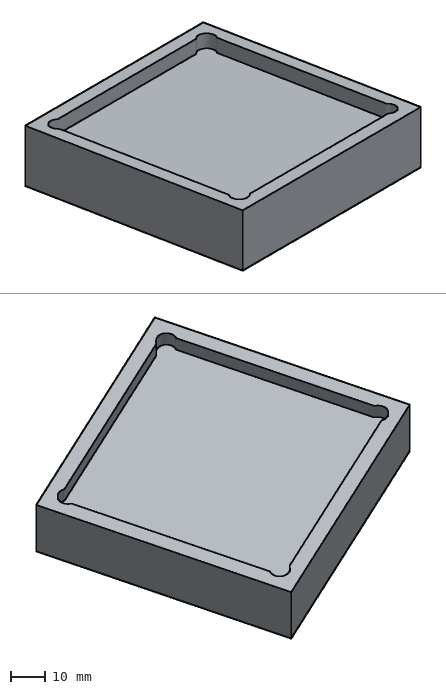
import cadquery as cq

side = 82.0
height = 20.0
wall = 4.8
pocket_depth = 5.0
relief_radius = 3.0
relief_inset = 2.1
neck_radius = 1.0

pocket_side = side - 2 * wall
relief_spacing = pocket_side - 2 * relief_inset

block = cq.Workplane("XY").box(side, side, height, centered=(True, True, False))
pocket_floor = cq.Workplane("XY").workplane(offset=height - pocket_depth)

square_pocket = pocket_floor.rect(pocket_side, pocket_side).extrude(pocket_depth)
corner_reliefs = (
    pocket_floor
    .rect(relief_spacing, relief_spacing, forConstruction=True)
    .vertices()
    .circle(relief_radius)
    .extrude(pocket_depth)
)

pocket = square_pocket.union(corner_reliefs)
pocket = pocket.faces("#Z").faces("%PLANE").edges("|Z").fillet(neck_radius)

result = block.cut(pocket)